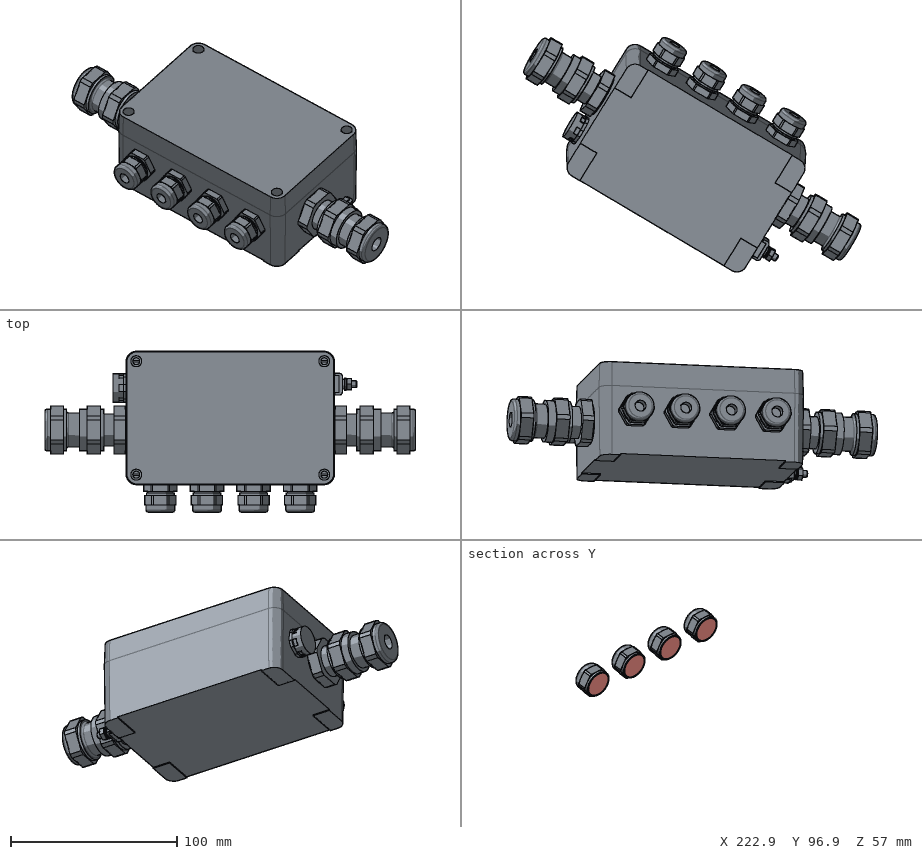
import cadquery as cq
import math

overall_length = 222.91
overall_width = 96.89

box_length = 124.4
box_width = 79.4
box_height = 57.0
seam_height = 42.2
draft_offset = 0.5
corner_radius = 6.1
foot_length = 11.6
foot_width = 19.8
foot_height = 0.7

screw_spacing_x = 113.0
screw_spacing_y = 68.2
screw_hole_diameter = 6.6
screw_hole_depth = 10.0
screw_head_diameter = 4.2
screw_head_height = 3.0
screw_slot_width = 1.0
screw_slot_depth = 1.2

wall_x = box_length / 2
wall_y = box_width / 2
embed = 2.0

gland_y = -7.25
gland_z = 25.6
gland_reach = overall_length / 2 - wall_x
gland_hex_flats = 26.5
gland_hex_trim = 29.1
gland_neck_diameter = 20.6
gland_stem_diameter = 19.4
gland_flare_diameter = 23.0
gland_collar_diameter = 25.2
gland_bore_diameter = 8.8
gland_bore_depth = 20.0
gland_cap_radius = 1.5

small_count = 4
small_pitch = 28.0
small_z = 27.0
small_reach = overall_width - box_width - draft_offset
small_body_flats = 18.0
small_body_trim = 20.2
small_nut_flats = 17.0
small_nut_trim = 18.9
small_groove_diameter = 15.4
small_collar_diameter = 16.8
small_cap_diameter = 17.4
small_cap_radius = 1.5
small_bore_diameter = 6.6
small_bore_depth = 6.0

vent_y = 18.0
vent_z = 27.1
vent_reach = 8.3
vent_diameter = 17.2
vent_flange_flats = 17.4
vent_flange_trim = 18.2
vent_flange_height = 2.1
vent_slot_count = 6
vent_slot_width = 4.3
vent_slot_height = 2.7
vent_slot_depth = 1.0

earth_y = 20.3
earth_z = 6.1
strap_width = 13.2
strap_height = 8.6
strap_start = 0.7
strap_reach = 5.3
strap_radius = 2.0
block_size = 10.3
block_reach = 3.3
washer_diameter = 7.6
washer_start = 6.5
washer_end = 7.3
spacer_diameter = 6.0
earth_nut_flats = 7.0
earth_nut_start = 8.0
earth_nut_end = 10.8
stud_diameter = 4.2
stud_reach = 14.1
stud_chamfer = 0.6


def cylinder(diameter, start, end):
    """Round section of a fitting between two heights on its axis."""
    return cq.Workplane("XY").workplane(offset=start).circle(diameter / 2).extrude(end - start)


def flare(start_diameter, end_diameter, start):
    """Section widening along a concave quarter circle that leaves the narrow end smoothly."""
    narrow = start_diameter / 2
    wide = end_diameter / 2
    radius = wide - narrow
    end = start + radius
    arc_middle = (wide - radius * math.sqrt(0.5), start + radius * math.sqrt(0.5))
    return (
        cq.Workplane("XZ")
        .moveTo(0, start)
        .lineTo(narrow, start)
        .threePointArc(arc_middle, (wide, end))
        .lineTo(0, end)
        .close()
        .revolve(360, (0, 0, 0), (0, 1, 0))
    )


def hexagon(flats, trim_diameter, start, end):
    """Hexagonal section with corners on local X, rounded off by a trimming cylinder."""
    corners = flats / math.cos(math.pi / 6)
    prism = cq.Workplane("XY").workplane(offset=start).polygon(6, corners).extrude(end - start)
    return prism.intersect(cylinder(trim_diameter, start, end))


def stack(sections):
    """Join the sections of one fitting into one body."""
    body = sections[0]
    for section in sections[1:]:
        body = body.union(section)
    return body


def mount(fitting, origin, corner_direction, axis):
    """Stand a fitting at origin, with its axis outward and its local X along corner_direction."""
    plane = cq.Plane(origin=origin, xDir=corner_direction, normal=axis)
    return cq.Workplane(fitting.val().moved(cq.Location(plane)))


def drafted_block(height):
    """Rounded block growing from the joint upward, leaning in to the nominal outline."""
    draft_angle = math.degrees(math.atan(draft_offset / height))
    outline = cq.Sketch().rect(box_length + 2 * draft_offset, box_width + 2 * draft_offset)
    outline = outline.vertices().fillet(corner_radius + draft_offset)
    return cq.Workplane("XY").placeSketch(outline).extrude(height, taper=draft_angle)


def make_enclosure():
    lid = drafted_block(box_height - seam_height).translate((0, 0, seam_height))
    base = drafted_block(seam_height).mirror("XY").translate((0, 0, seam_height))
    channel_x = cq.Workplane("XY").box(
        box_length - 2 * foot_length, 2 * box_width, foot_height, centered=(True, True, False)
    )
    channel_y = cq.Workplane("XY").box(
        2 * box_length, box_width - 2 * foot_width, foot_height, centered=(True, True, False)
    )
    return base.union(lid).cut(channel_x).cut(channel_y)


def make_screw_pocket():
    """Empty space around one lid screw: a deep hole less the slotted screw head."""
    floor = box_height - screw_hole_depth
    head_top = floor + screw_head_height
    head = cylinder(screw_head_diameter, floor, head_top)
    slot = (
        cq.Workplane("XY")
        .box(screw_head_diameter, screw_slot_width, screw_slot_depth, centered=(True, True, False))
        .translate((0, 0, head_top - screw_slot_depth))
    )
    return cylinder(screw_hole_diameter, floor, box_height).cut(head.cut(slot))


def make_large_gland():
    seat_end = 0.9
    lock_nut_end = 7.8
    stem_end = 13.8
    lower_collar_end = 15.7
    middle_hex_end = 23.8
    upper_collar_end = 28.5
    flare_end = 36.2
    neck_end = flare_end - (gland_flare_diameter - gland_neck_diameter) / 2
    end_nut_start = 37.9
    end_nut_end = 45.7
    cap = cylinder(gland_collar_diameter, end_nut_end, gland_reach)
    cap = cap.faces(">Z").edges().fillet(gland_cap_radius)
    body = stack([
        cylinder(gland_collar_diameter, -embed, seat_end),
        hexagon(gland_hex_flats, gland_hex_trim, seat_end, lock_nut_end),
        cylinder(gland_stem_diameter, lock_nut_end, stem_end),
        cylinder(gland_collar_diameter, stem_end, lower_collar_end),
        hexagon(gland_hex_flats, gland_hex_trim, lower_collar_end, middle_hex_end),
        cylinder(gland_collar_diameter, middle_hex_end, upper_collar_end),
        cylinder(gland_neck_diameter, upper_collar_end, neck_end),
        flare(gland_neck_diameter, gland_flare_diameter, neck_end),
        cylinder(gland_collar_diameter, flare_end, end_nut_start),
        hexagon(gland_hex_flats, gland_hex_trim, end_nut_start, end_nut_end),
        cap,
    ])
    return body.cut(cylinder(gland_bore_diameter, gland_reach - gland_bore_depth, gland_reach))


def make_small_gland():
    body_end = 4.4
    groove_end = 5.4
    collar_end = 6.9
    nut_end = 12.6
    cap = cylinder(small_cap_diameter, nut_end, small_reach)
    cap = cap.faces(">Z").edges().fillet(small_cap_radius)
    body = stack([
        hexagon(small_body_flats, small_body_trim, -embed, body_end),
        cylinder(small_groove_diameter, body_end, groove_end),
        cylinder(small_collar_diameter, groove_end, collar_end),
        hexagon(small_nut_flats, small_nut_trim, collar_end, nut_end),
        cap,
    ])
    return body.cut(cylinder(small_bore_diameter, small_reach - small_bore_depth, small_reach))


def make_vent():
    body = stack([
        hexagon(vent_flange_flats, vent_flange_trim, -embed, vent_flange_height),
        cylinder(vent_diameter, vent_flange_height, vent_reach),
    ])
    slot = (
        cq.Workplane("XY")
        .box(2 * vent_slot_depth, vent_slot_width, vent_slot_height, centered=(True, True, False))
        .translate((vent_diameter / 2, 0, vent_flange_height))
    )
    for i in range(vent_slot_count):
        body = body.cut(slot.rotate((0, 0, 0), (0, 0, 1), i * 360 / vent_slot_count))
    return body


def make_earth_terminal():
    """Clamp strap over a square block, with washer, hexagon nut and stud; local X is up."""
    strap = cq.Workplane("XY").box(
        strap_height, strap_width, strap_reach - strap_start, centered=(True, True, False)
    )
    strap = strap.faces(">Z").edges("|X").fillet(strap_radius).translate((0, 0, strap_start))
    block = (
        cq.Workplane("XY")
        .box(block_size, block_size, block_reach + embed, centered=(True, True, False))
        .translate((0, 0, -embed))
    )
    corner_diameter = earth_nut_flats / math.cos(math.pi / 6)
    stud = cylinder(stud_diameter, earth_nut_end, stud_reach)
    stud = stud.faces(">Z").edges().chamfer(stud_chamfer)
    return stack([
        strap,
        block,
        cylinder(spacer_diameter, strap_reach, earth_nut_start),
        cylinder(washer_diameter, washer_start, washer_end),
        hexagon(earth_nut_flats, corner_diameter, earth_nut_start, earth_nut_end),
        stud,
    ])


result = make_enclosure()

screw_pocket = make_screw_pocket()
for side_x in (-1, 1):
    for side_y in (-1, 1):
        position = (side_x * screw_spacing_x / 2, side_y * screw_spacing_y / 2, 0)
        result = result.cut(screw_pocket.translate(position))

large_gland = make_large_gland()
for side in (-1, 1):
    result = result.union(mount(large_gland, (side * wall_x, gland_y, gland_z), (0, 1, 0), (side, 0, 0)))

small_gland = make_small_gland()
for i in range(small_count):
    gland_x = (i - (small_count - 1) / 2) * small_pitch
    result = result.union(mount(small_gland, (gland_x, -wall_y, small_z), (1, 0, 0), (0, -1, 0)))

result = result.union(mount(make_vent(), (-wall_x, vent_y, vent_z), (0, 0, 1), (-1, 0, 0)))
result = result.union(mount(make_earth_terminal(), (wall_x, earth_y, earth_z), (0, 0, 1), (1, 0, 0)))